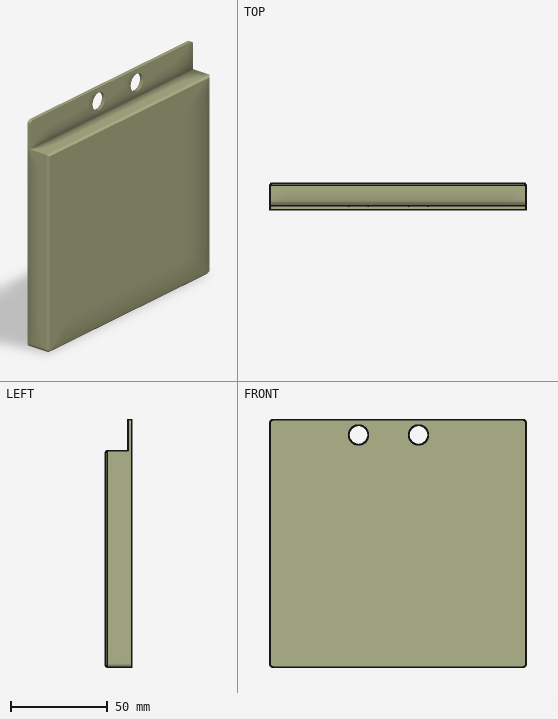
import cadquery as cq

width = 132.5
depth = 13.8
height = 128.0

plate_thickness = 2.0
flange_height = 16.0
corner_radius = 2.0
back_chamfer = 1.0

hole_diameter = 10.0
hole_drop = 8.0
first_hole_x = -20.4
hole_spacing = 31.0
hole_count = 2

body_height = height - flange_height


def make_plate():
    """Thin front plate with all four corners rounded; its front face lies at Y = 0."""
    plate = cq.Workplane("XY").box(width, plate_thickness, height, centered=(True, False, False))
    return plate.edges("|Y").fillet(corner_radius)


def make_body():
    """Thick block with rounded bottom corners and a chamfer around its back face."""
    body = cq.Workplane("XY").box(width, depth, body_height, centered=(True, False, False))
    body = body.edges("|Y and <Z").fillet(corner_radius)
    return body.faces(">Y").edges().chamfer(back_chamfer)


def make_holes():
    """Pair of round cutters that pass through the flange only."""
    hole_z = height - hole_drop
    centers = [(first_hole_x + i * hole_spacing, hole_z) for i in range(hole_count)]
    return cq.Workplane("XZ").pushPoints(centers).circle(hole_diameter / 2).extrude(-plate_thickness)


result = make_plate().union(make_body()).cut(make_holes())